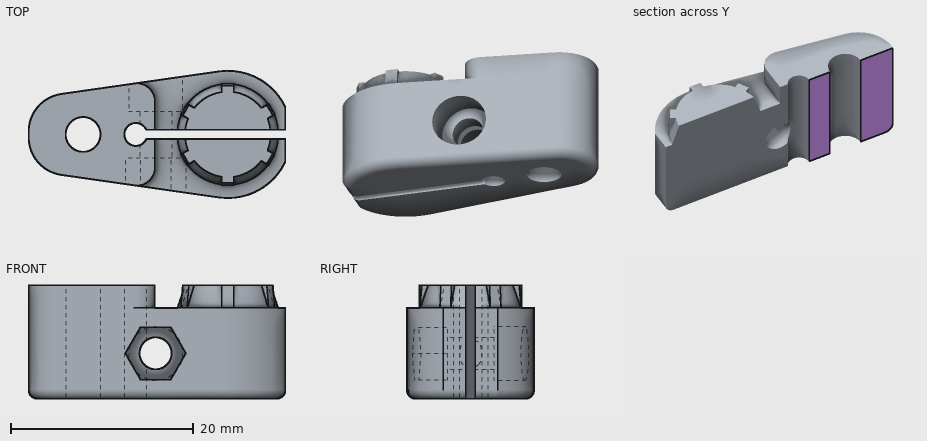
import cadquery as cq
import math

HEAD_RADIUS = 7.0
TAIL_REACH = 21.88
NOSE_REACH = 6.33
TAIL_RADIUS = 4.2
TAIL_HALF_FLAT = 0.3
BODY_HEIGHT = 10.0
TOTAL_HEIGHT = 12.5
BOTTOM_FILLET = 1.0

STEP_END_X = -8.0
STEP_CORNER_RADIUS = 2.0

PIVOT_X = -15.89
PIVOT_DIAMETER = 3.8
RELIEF_X = -10.1
RELIEF_DIAMETER = 2.5
SLOT_WIDTH = 1.0

SCREW_X = -7.93
SCREW_Z = BODY_HEIGHT / 2
SCREW_DIAMETER = 3.5
NUT_ACROSS_FLATS = 5.75
HEAD_RECESS_DIAMETER = 5.9
RECESS_FLOOR_Y = 2.55

BOSS_BASE_RADIUS = 5.55
BOSS_TOP_RADIUS = 4.7
RIB_BASE_REACH = 5.56
RIB_TOP_REACH = 5.33
RIB_WIDTH = 1.35
RIB_COUNT = 6
FIRST_RIB_ANGLE = 30.0

TAIL_CENTER_X = TAIL_RADIUS - TAIL_REACH
TAPER_ANGLE = (
    math.asin((HEAD_RADIUS - TAIL_RADIUS) / math.hypot(TAIL_CENTER_X, TAIL_HALF_FLAT))
    - math.atan2(TAIL_HALF_FLAT, -TAIL_CENTER_X)
)
WALL_DIRECTION = math.pi / 2 + TAPER_ANGLE


def on_circle(center_x, center_y, radius, angle):
    return (center_x + radius * math.cos(angle), center_y + radius * math.sin(angle))


def mirrored(point):
    return (point[0], -point[1])


def tapered_outline():
    """Closed outline of the body on the XY plane."""
    tail_mid_angle = (WALL_DIRECTION + math.pi) / 2
    tail_start = (-TAIL_REACH, TAIL_HALF_FLAT)
    tail_mid = on_circle(TAIL_CENTER_X, TAIL_HALF_FLAT, TAIL_RADIUS, tail_mid_angle)
    tail_end = on_circle(TAIL_CENTER_X, TAIL_HALF_FLAT, TAIL_RADIUS, WALL_DIRECTION)

    nose_angle = math.acos(NOSE_REACH / HEAD_RADIUS)
    head_start = on_circle(0, 0, HEAD_RADIUS, WALL_DIRECTION)
    head_mid = on_circle(0, 0, HEAD_RADIUS, (WALL_DIRECTION + nose_angle) / 2)
    head_end = on_circle(0, 0, HEAD_RADIUS, nose_angle)

    return (
        cq.Workplane("XY")
        .moveTo(*tail_start)
        .threePointArc(tail_mid, tail_end)
        .lineTo(*head_start)
        .threePointArc(head_mid, head_end)
        .lineTo(*mirrored(head_end))
        .threePointArc(mirrored(head_mid), mirrored(head_start))
        .lineTo(*mirrored(tail_end))
        .threePointArc(mirrored(tail_mid), mirrored(tail_start))
        .close()
    )


def body():
    return tapered_outline().extrude(BODY_HEIGHT).faces("<Z").edges().fillet(BOTTOM_FILLET)


def raised_step():
    """Tail part of the outline, lifted above the body, with rounded front corners."""
    length = TAIL_REACH + STEP_END_X
    height = TOTAL_HEIGHT - BODY_HEIGHT
    keep = cq.Workplane("XY").box(
        length, 2 * HEAD_RADIUS, TOTAL_HEIGHT, centered=(False, True, False)
    )
    step = tapered_outline().extrude(height).intersect(keep.translate((-TAIL_REACH, 0, 0)))
    step = step.faces(">X").edges("|Z").fillet(STEP_CORNER_RADIUS)
    return step.translate((0, 0, BODY_HEIGHT))


def ribbed_boss():
    height = TOTAL_HEIGHT - BODY_HEIGHT
    boss = (
        cq.Workplane("XZ")
        .polyline([(0, 0), (BOSS_BASE_RADIUS, 0), (BOSS_TOP_RADIUS, height), (0, height)])
        .close()
        .revolve(360, (0, 0, 0), (0, 1, 0))
    )
    rib = (
        cq.Workplane("XZ")
        .polyline([(0, 0), (RIB_BASE_REACH, 0), (RIB_TOP_REACH, height), (0, height)])
        .close()
        .extrude(RIB_WIDTH / 2, both=True)
    )
    for index in range(RIB_COUNT):
        angle = FIRST_RIB_ANGLE + index * 360 / RIB_COUNT
        boss = boss.union(rib.rotate((0, 0, 0), (0, 0, 1), angle))
    return boss.translate((0, 0, BODY_HEIGHT))


def vertical_hole(x, diameter):
    return cq.Workplane("XY").center(x, 0).circle(diameter / 2).extrude(TOTAL_HEIGHT)


def clamping_slot():
    """Slot from the relief hole out through the nose, full height."""
    return (
        cq.Workplane("XY")
        .box(NOSE_REACH - RELIEF_X, SLOT_WIDTH, TOTAL_HEIGHT, centered=(False, True, False))
        .translate((RELIEF_X, 0, 0))
    )


def cross_screw():
    """Screw hole along Y with its hexagonal nut pocket and round head recess."""
    recess_length = HEAD_RADIUS - RECESS_FLOOR_Y
    nut_across_corners = NUT_ACROSS_FLATS / math.cos(math.pi / 6)
    axis = cq.Workplane("XZ").center(SCREW_X, SCREW_Z)
    hole = axis.circle(SCREW_DIAMETER / 2).extrude(HEAD_RADIUS, both=True)
    nut = axis.workplane(offset=RECESS_FLOOR_Y).polygon(6, nut_across_corners).extrude(recess_length)
    head = (
        axis.workplane(offset=-RECESS_FLOOR_Y)
        .circle(HEAD_RECESS_DIAMETER / 2)
        .extrude(-recess_length)
    )
    return hole.union(nut).union(head)


result = (
    body()
    .union(raised_step())
    .union(ribbed_boss())
    .cut(vertical_hole(PIVOT_X, PIVOT_DIAMETER))
    .cut(vertical_hole(RELIEF_X, RELIEF_DIAMETER))
    .cut(clamping_slot())
    .cut(cross_screw())
)